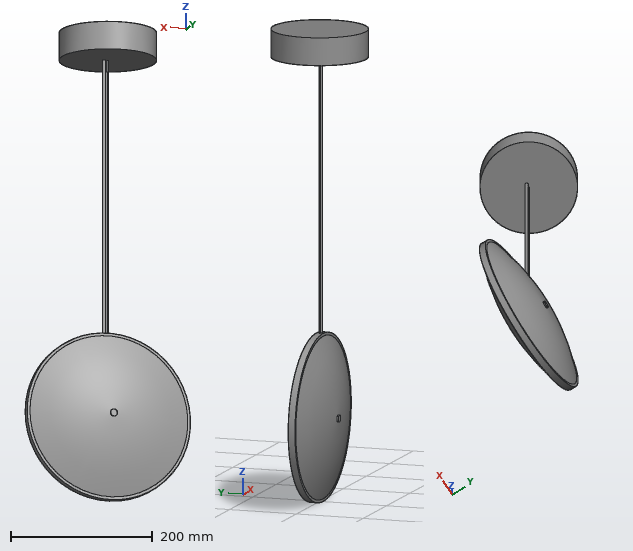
import cadquery as cq
import math

total_height = 680.0
canopy_diameter = 138.0
canopy_height = 40.0

wire_diameter = 2.0
cord_diameter = 5.0
cord_offset_x = 5.6

head_diameter = 242.0
rim_thickness = 10.0
rim_width = 4.0
dome_thickness = 55.0
pin_diameter = 10.0
pin_length = 59.0

head_radius = head_diameter / 2
dome_radius = head_radius - rim_width
head_center_z = head_radius
canopy_bottom_z = total_height - canopy_height


def make_canopy():
    """Round ceiling canopy at the top."""
    canopy = cq.Workplane("XY").workplane(offset=canopy_bottom_z)
    return canopy.circle(canopy_diameter / 2).extrude(canopy_height)


def make_line(x, diameter):
    """Thin upright line from inside the head's rim up to the canopy."""
    bottom_z = head_diameter - rim_width
    line = cq.Workplane("XY").workplane(offset=bottom_z).center(x, 0)
    return line.circle(diameter / 2).extrude(canopy_bottom_z - bottom_z)


def make_head():
    """Disc with a flat rim and a shallow dome on both faces, revolved about Y."""
    half_rim = rim_thickness / 2
    half_dome = dome_thickness / 2
    rise = half_dome - half_rim
    sphere_radius = (dome_radius**2 + rise**2) / (2 * rise)
    sphere_center_y = half_dome - sphere_radius
    mid_x = dome_radius / 2
    mid_y = sphere_center_y + math.sqrt(sphere_radius**2 - mid_x**2)

    profile = (
        cq.Workplane("XY")
        .moveTo(0, -half_dome)
        .threePointArc((mid_x, -mid_y), (dome_radius, -half_rim))
        .lineTo(head_radius, -half_rim)
        .lineTo(head_radius, half_rim)
        .lineTo(dome_radius, half_rim)
        .threePointArc((mid_x, mid_y), (0, half_dome))
        .close()
    )
    head = profile.revolve(360, (0, 0, 0), (0, 1, 0))
    return head.translate((0, 0, head_center_z))


def make_pin():
    """Pin through the head's centre, standing slightly proud of both domes."""
    pin = cq.Workplane("XZ").center(0, head_center_z).circle(pin_diameter / 2)
    return pin.extrude(pin_length / 2, both=True)


wire = make_line(0, wire_diameter)
cord = make_line(cord_offset_x, cord_diameter)
result = make_canopy().union(make_head()).union(make_pin()).union(wire).union(cord)